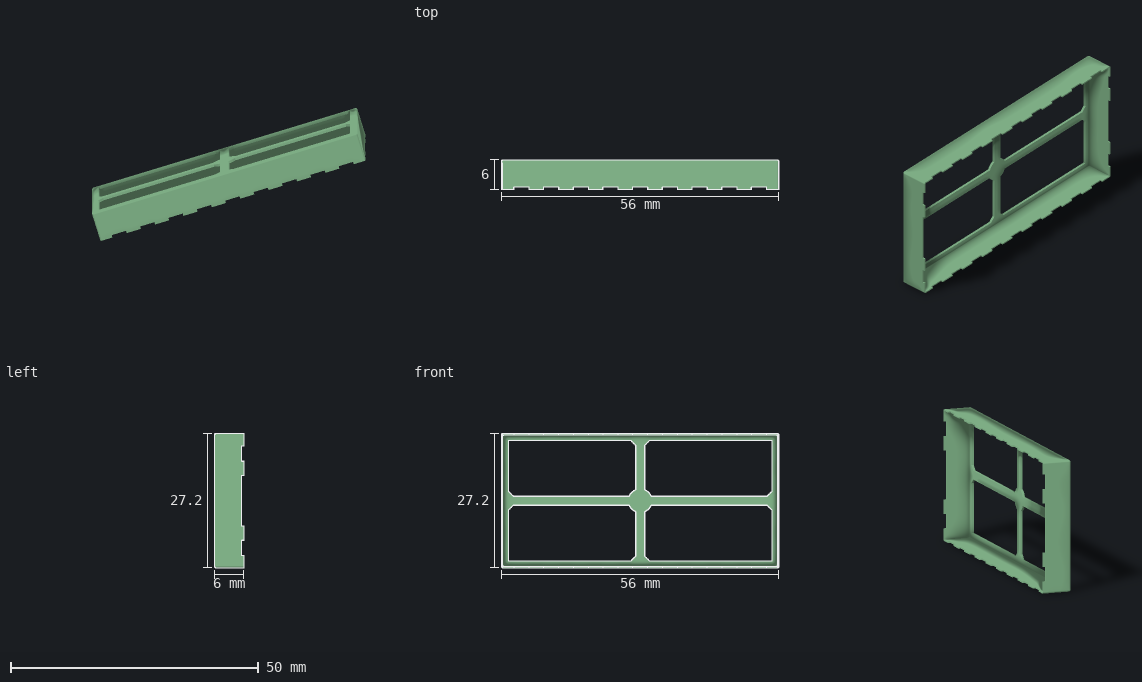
import cadquery as cq

length = 56.05
height = 27.2
depth = 6.0
wall = 0.3
floor = 0.5
outer_radius = 0.4
inner_radius = 0.15

rim = 1.45
bar_width = 1.85
hub_radius = 2.4
gusset = 0.95

notch_depth = 0.5
notch_width = 3.0
notch_pitch = 6.0
long_notch_count = 9
end_notch_offset = 9.5
end_middle_notch = 10.15


def block(size_x, size_z, y_start, y_end, x=0, z=0):
    """Box centred at (x, z) and reaching from y_start to y_end."""
    middle = (y_start + y_end) / 2
    return cq.Workplane("XY").box(size_x, y_end - y_start, size_z).translate((x, middle, z))


def make_tray():
    """Shallow open box with rounded outer edges and a small fillet inside the floor."""
    body = block(length, height, -depth, 0)
    body = body.edges("|Y or >Y").fillet(outer_radius)
    cavity = block(length - 2 * wall, height - 2 * wall, -depth, -floor)
    cavity = cavity.edges(">Y").fillet(inner_radius)
    return body.cut(cavity)


def make_window(side_x, side_z):
    """One quadrant opening; its corners that touch a bar's outer end are cut at 45 degrees."""
    near = bar_width / 2
    far_x = length / 2 - rim
    far_z = height / 2 - rim
    outline = [
        (near, near),
        (far_x - gusset, near),
        (far_x, near + gusset),
        (far_x, far_z),
        (near + gusset, far_z),
        (near, far_z - gusset),
    ]
    points = [(side_x * x, side_z * z) for x, z in outline]
    return cq.Workplane("XZ").polyline(points).close().extrude(floor)


def make_notches():
    """Cutters across the long walls and across the end walls."""
    edge = -depth + notch_depth
    cutters = []
    for i in range(long_notch_count):
        x = (i - (long_notch_count - 1) / 2) * notch_pitch
        cutters.append(block(notch_width, height, -depth, edge, x=x))
    for z in (-end_notch_offset, end_notch_offset):
        cutters.append(block(length, notch_width, -depth, edge, z=z))
    cutters.append(block(length, end_middle_notch, -depth, edge))
    return cutters


result = make_tray()
for side_x in (-1, 1):
    for side_z in (-1, 1):
        result = result.cut(make_window(side_x, side_z))

result = result.union(cq.Workplane("XZ").circle(hub_radius).extrude(floor))

for cutter in make_notches():
    result = result.cut(cutter)

result = result.translate((0, depth / 2, 0))